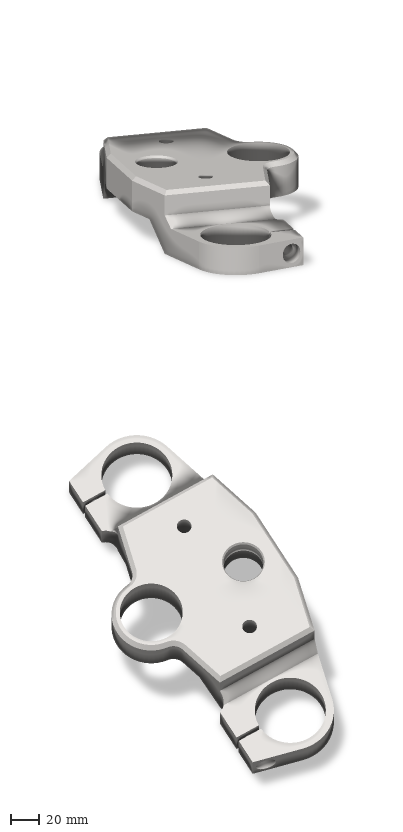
import cadquery as cq
import math

total_height = 46.0
ear_height = 20.5
plate_underside = ear_height
plate_chamfer = 3.0

plate_half_width = 69.8
step_run = 8.0
underside_half_width = 50.5
front_y = -52.0
front_half_width = 29.0
edge_angle = math.radians(15)
edge_end = (-plate_half_width, 36.7)
blend_radius = 9.5
relief_radius = 9.0
relief_mid_angle = math.radians(30)

clamp_x = 105.2
clamp_bore = 50.0
ear_radius = 136 - clamp_x
ear_back_y = 43.2
ear_corner_x = 125.8
slot_width = 3.0

screw_y = 33.7
screw_z = ear_height / 2
screw_diameter = 8.5
thread_diameter = 7.0
screw_end_x = 88.3
screw_head_diameter = 14.0
screw_seat_x = 118.2
drill_tip_length = 2.2

ring_y = 51.0
ring_radius = 28.0
ring_bore = 44.3
stem_y = -24.5
stem_bore = 28.3
stem_mouth = 30.2
stem_mouth_depth = 1.5
stem_groove = 31.3
stem_groove_depth = 9.8
stem_groove_height = 2.7
mount_x = 44.8
mount_y = -2.7
mount_diameter = 10.3


def ear_point(angle):
    """Point on the outer round of the left ear."""
    return (-clamp_x + ear_radius * math.cos(angle), ear_radius * math.sin(angle))


def tangent_angle(point, side):
    """Angle on the left ear round where a line from the point is tangent."""
    dx = point[0] + clamp_x
    dy = point[1]
    return math.atan2(dy, dx) + side * math.acos(ear_radius / math.hypot(dx, dy))


def left_outline():
    """Left half of the plan outline, without the ring, as a closed wire on XY."""
    ear_corner = (-ear_corner_x, ear_back_y)
    front_corner = (-front_half_width, front_y)
    back_angle = tangent_angle(ear_corner, 1)
    front_angle = tangent_angle(front_corner, -1) % (2 * math.pi)
    mid_angle = (back_angle + front_angle) / 2

    centre_x = edge_end[0] - relief_radius * math.sin(edge_angle)
    centre_y = edge_end[1] + relief_radius * math.cos(edge_angle)
    relief_rise = ear_back_y - centre_y
    relief_start_x = centre_x - math.sqrt(relief_radius**2 - relief_rise**2)
    middle_y = edge_end[1] - edge_end[0] * math.tan(edge_angle)

    return (
        cq.Workplane("XY")
        .moveTo(0, front_y)
        .lineTo(*front_corner)
        .lineTo(*ear_point(front_angle))
        .threePointArc(ear_point(mid_angle), ear_point(back_angle))
        .lineTo(*ear_corner)
        .lineTo(relief_start_x, ear_back_y)
        .threePointArc((centre_x - relief_radius * math.sin(relief_mid_angle),
                        centre_y - relief_radius * math.cos(relief_mid_angle)), edge_end)
        .lineTo(0, middle_y)
        .close()
    )


def plan_body():
    """Full-height body with the plan outline, blended into the rear ring."""
    left = left_outline().extrude(total_height)
    ring = cq.Workplane("XY").center(0, ring_y).circle(ring_radius).extrude(total_height)
    body = left.union(left.mirror("YZ")).union(ring).clean()
    blend_box = cq.selectors.BoxSelector(
        (-ring_radius - 2.7, ring_y - blend_radius, 0),
        (ring_radius + 2.7, ring_y + blend_radius, total_height),
    )
    return body.edges("|Z").edges(blend_box).fillet(blend_radius)


def stepped_profile():
    """Front profile: low ears, sloped steps and the raised plate."""
    left = [
        (-underside_half_width, plate_underside),
        (-plate_half_width, 0),
        (-clamp_x - ear_radius, 0),
        (-clamp_x - ear_radius, ear_height),
        (-plate_half_width - step_run, ear_height),
        (-plate_half_width, ear_height + step_run),
        (-plate_half_width, total_height),
    ]
    right = [(-x, z) for x, z in reversed(left)]
    reach = ring_y + ring_radius
    return cq.Workplane("XZ").polyline(left + right).close().extrude(reach, both=True)


def plate_hole(x, y, diameter):
    """Cutter for a vertical hole through the whole part."""
    return cq.Workplane("XY").center(x, y).circle(diameter / 2).extrude(total_height)


def stem_cutter():
    """Cutter for the stem bore with its tapered mouth and internal ring groove."""
    radius = stem_bore / 2
    groove_radius = stem_groove / 2
    mouth_z = total_height - stem_mouth_depth
    groove_top = total_height - stem_groove_depth
    groove_bottom = groove_top - stem_groove_height
    profile = [
        (0, total_height),
        (stem_mouth / 2, total_height),
        (radius, mouth_z),
        (radius, groove_top),
        (groove_radius, groove_top),
        (groove_radius, groove_bottom),
        (radius, groove_bottom),
        (radius, 0),
        (0, 0),
    ]
    cutter = cq.Workplane("XZ").polyline(profile).close().revolve(360, (0, 0), (0, 1))
    return cutter.translate((0, stem_y, 0))


def screw_cutter(side):
    """Cutter for one clamp screw hole, entering from the outer side of an ear."""
    outer_x = clamp_x + ear_radius
    radius = screw_diameter / 2
    thread_radius = thread_diameter / 2
    head_radius = screw_head_diameter / 2
    profile = [
        (outer_x, 0),
        (outer_x, head_radius),
        (screw_seat_x, head_radius),
        (screw_seat_x, radius),
        (clamp_x, radius),
        (clamp_x, thread_radius),
        (screw_end_x, thread_radius),
        (screw_end_x - drill_tip_length, 0),
    ]
    cutter = cq.Workplane("XY").polyline(profile).close().revolve(360, (0, 0), (1, 0))
    if side < 0:
        cutter = cutter.mirror("YZ")
    return cutter.translate((0, screw_y, screw_z))


result = plan_body().intersect(stepped_profile())
result = result.faces(">Z").edges().chamfer(plate_chamfer)

result = result.cut(plate_hole(0, ring_y, ring_bore))
result = result.cut(stem_cutter())

for side in (-1, 1):
    result = result.cut(plate_hole(side * mount_x, mount_y, mount_diameter))
    result = result.cut(plate_hole(side * clamp_x, 0, clamp_bore))
    slot = cq.Workplane("XY").box(slot_width, ear_back_y, ear_height, centered=(True, False, False))
    result = result.cut(slot.translate((side * clamp_x, 0, 0)))
    result = result.cut(screw_cutter(side))